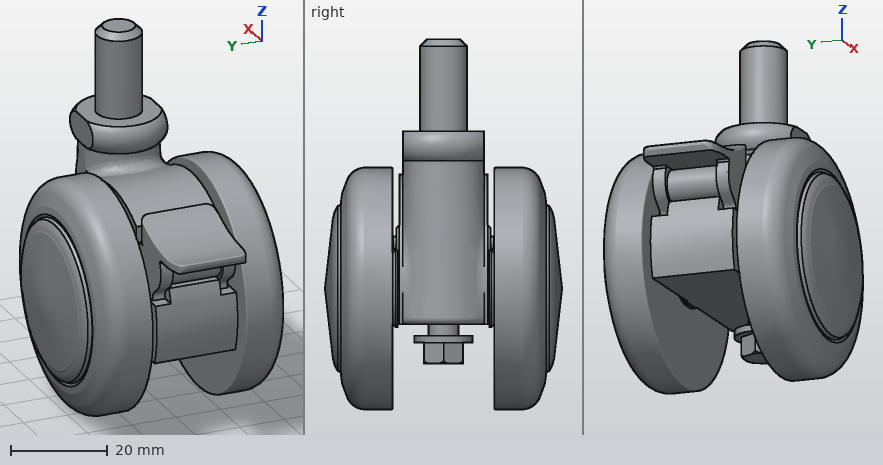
import cadquery as cq
import math


overall_height = 76.5
overall_width = 49.0

wheel_radius = 25.0
wheel_inner_face = 10.5
wheel_edge_fillet = 0.4
tread_side = 16.4
shoulder_mid = (24.2, 18.6)
shoulder_end = (22.3, 20.0)
rim_start = (19.65, 20.95)
rim_step = (18.05, 21.2)
rim_end = (17.45, 21.0)
cap_edge = (17.05, 21.8)
cap_shoulder = (16.6, 22.1)
cap_bend = (15.8, 22.5)
cap_rim = (14.9, 22.7)
cap_cone_radius = 14.5
cap_cone_side = 22.9
cap_apex = overall_width / 2
hub_radius = 7.95
hub_neck_radius = 7.5
hub_lip = 0.4

housing_radius = 23.6
housing_half_width = 9.1
housing_floor = -7.4
boss_radius = hub_radius
boss_face = 9.5

stem_x = 16.9
stem_radius = 4.9
stem_top = overall_height - wheel_radius
stem_chamfer = 1.45
collar_bottom = 26.4
collar_height = 6.1
collar_top = collar_bottom + collar_height
collar_face_radius = 8.9
collar_radius = 10.3
collar_half_flats = 8.4
neck_top_radius = 8.5
neck_bottom_radius = 10.3
neck_ring_height = 0.9
neck_bottom_fillet = 1.3
neck_blend = 2.3
bolt_radius = 3.1
washer_top = -9.7
washer_thickness = 1.45
washer_radius = 6.05
bolt_head_bottom = -15.5
bolt_head_flats = 8.1
bolt_head_chamfer = 0.45

lever_half_width = 8.4
lever_left = -32.1
lever_tip = -12.55
handle_low_x = -27.8
handle_low_z = 17.8
handle_dish_radius = 28.3
handle_underside = 16.1
nose_corner_radius = 1.8
nose_taper_radius = 12.0
nose_taper_angle = math.radians(20)
handle_corner_radius = 2.1
handle_rim_fillet = 0.3
nose_bevel_length = 0.7
nose_bevel_height = 1.15
arm_width = 2.75
arm_inner = lever_half_width - arm_width
arm_top_x = -23.9
arm_notch = (-23.5, 15.5)
arm_notch_radius = 0.6
arm_shoulder = (-23.7, 14.85)
arm_bulge = [(-24.0, 13.0), (-23.0, 9.9), (-20.8, 7.95), (-20.05, 7.2)]
arm_foot_x = -20.0
slot_floor = 5.65
recess_floor = 8.7
barrel_radius = (handle_underside - recess_floor) / 2
barrel_x = -19.3
recess_back = -13.0
recess_bend_z = 13.15

lug_x = -17.7
lug_z = 9.65
lug_radius = 5.8
lug_face = 9.8
lug_chamfer = 0.7
lug_pad_radius = 1.5
lug_pad_face = 10.4
wall_foot = (-17.3, 4.0)


def y_cylinder(x, z, radius, y_start, y_end):
    """Cylinder along Y between two Y positions."""
    plane = cq.Plane(origin=(x, y_start, z), xDir=(1, 0, 0), normal=(0, 1, 0))
    return cq.Workplane(plane).circle(radius).extrude(y_end - y_start)


def z_cylinder(radius, z_bottom, z_top):
    """Cylinder on the stem axis."""
    return cq.Workplane("XY", origin=(stem_x, 0, z_bottom)).circle(radius).extrude(z_top - z_bottom)


def xz_prism(outline, half_width):
    """Closed XZ outline extruded evenly to both sides of the mid plane."""
    return outline.close().extrude(half_width, both=True)


def handle_top(x):
    """Height of the dished handle top at a given X."""
    return handle_low_z + handle_dish_radius - math.sqrt(
        handle_dish_radius**2 - (x - handle_low_x) ** 2
    )


def make_wheel():
    """Right-hand wheel (+Y), revolved about the axle."""
    profile = (
        cq.Workplane("XY")
        .moveTo(0, boss_face)
        .lineTo(hub_radius, boss_face)
        .lineTo(hub_radius, boss_face + hub_lip)
        .lineTo(hub_neck_radius, wheel_inner_face)
        .lineTo(wheel_radius - wheel_edge_fillet, wheel_inner_face)
        .radiusArc((wheel_radius, wheel_inner_face + wheel_edge_fillet), -wheel_edge_fillet)
        .lineTo(wheel_radius, tread_side)
        .threePointArc(shoulder_mid, shoulder_end)
        .lineTo(*rim_start)
        .lineTo(*rim_step)
        .lineTo(*rim_end)
        .lineTo(*cap_edge)
        .lineTo(*cap_shoulder)
        .threePointArc(cap_bend, cap_rim)
        .lineTo(cap_cone_radius, cap_cone_side)
        .lineTo(0, cap_apex)
        .close()
    )
    return profile.revolve(360, (0, 0, 0), (0, 1, 0))


def below_floor():
    """Block of space under the flat underside of the housing."""
    return cq.Workplane("XY", origin=(0, 0, housing_floor - housing_radius)).box(
        4 * housing_radius, 4 * housing_half_width, 2 * housing_radius
    )


def make_neck():
    """Tapered upright that carries the stem."""
    cone_top = collar_bottom - neck_ring_height
    return (
        cq.Workplane("XZ", origin=(stem_x, 0, 0))
        .moveTo(0, housing_floor)
        .lineTo(neck_bottom_radius, housing_floor)
        .lineTo(neck_top_radius, cone_top)
        .lineTo(neck_top_radius, collar_bottom)
        .lineTo(0, collar_bottom)
        .close()
        .revolve(360, (0, 0, 0), (0, 1, 0))
    )


def make_drum_with_neck():
    """Drum with a flat underside, blended into a neck as wide as the collar flats."""
    untrimmed_half_width = 12.25
    drum = y_cylinder(0, 0, housing_radius, -untrimmed_half_width, untrimmed_half_width)
    body = drum.cut(below_floor()).union(make_neck())
    body = body.edges("%BSPLINE").fillet(neck_blend)
    body = body.faces("<Z").edges(">X").fillet(neck_bottom_fillet)
    neck_trim = cq.Workplane("XY").box(4 * housing_radius, 2 * collar_half_flats, 4 * housing_radius)
    drum = y_cylinder(0, 0, housing_radius, -housing_half_width, housing_half_width)
    return body.intersect(neck_trim).union(drum.cut(below_floor()))


def wall_x(z):
    """X of the sloping recess wall at a given height."""
    slope = (recess_back - wall_foot[0]) / (recess_bend_z - wall_foot[1])
    return wall_foot[0] + slope * (z - wall_foot[1])


def recess_cutter(floor, half_width):
    """Space in front of the recess wall and above a flat floor."""
    outline = (
        cq.Workplane("XZ")
        .moveTo(-2 * housing_radius, floor)
        .lineTo(wall_x(floor), floor)
        .lineTo(recess_back, recess_bend_z)
        .lineTo(recess_back, 2 * housing_radius)
        .lineTo(-2 * housing_radius, 2 * housing_radius)
    )
    return xz_prism(outline, half_width)


def make_lugs():
    """Stepped round lug on each cheek, flattened by the sloping wall."""
    lugs = y_cylinder(lug_x, lug_z, lug_radius, -lug_face, lug_face)
    lugs = lugs.faces("<Y or >Y").edges().chamfer(lug_chamfer)
    pad_x = (wall_foot[0] + recess_back) / 2
    lugs = lugs.union(y_cylinder(pad_x, lug_z, lug_pad_radius, -lug_pad_face, lug_pad_face))
    return lugs.cut(recess_cutter(wall_foot[1] - lug_radius, 2 * housing_half_width))


def make_housing():
    """Drum and neck with hub bosses, lugs, lever recess and stem bore."""
    bosses = y_cylinder(0, 0, boss_radius, -boss_face, boss_face).cut(below_floor())
    recess = recess_cutter(slot_floor, 2 * housing_half_width)
    middle_block = cq.Workplane("XY", origin=(-housing_radius, 0, 0)).box(
        2 * housing_radius, 2 * arm_inner, 2 * recess_floor
    )
    body = make_drum_with_neck().cut(recess.cut(middle_block))
    body = body.union(bosses).union(make_lugs())
    return body.cut(z_cylinder(bolt_radius, housing_floor, collar_bottom))


def make_stem():
    """Stud, flatted collar and the bolt that reaches through the neck."""
    stud = z_cylinder(stem_radius, collar_top, stem_top).faces(">Z").chamfer(stem_chamfer)
    collar = (
        cq.Workplane("XZ", origin=(stem_x, 0, 0))
        .moveTo(0, collar_bottom)
        .lineTo(collar_face_radius, collar_bottom)
        .threePointArc(
            (collar_radius, collar_bottom + collar_height / 2), (collar_face_radius, collar_top)
        )
        .lineTo(0, collar_top)
        .close()
        .revolve(360, (0, 0, 0), (0, 1, 0))
    )
    flats = cq.Workplane("XY", origin=(stem_x, 0, collar_bottom + collar_height / 2)).box(
        4 * collar_radius, 2 * collar_half_flats, 2 * collar_height
    )
    shank = z_cylinder(bolt_radius, washer_top, collar_bottom)
    washer_bottom = washer_top - washer_thickness
    washer = z_cylinder(washer_radius, washer_bottom, washer_top)
    corner_radius = bolt_head_flats / 2 / math.cos(math.pi / 6)
    head = (
        cq.Workplane("XY", origin=(stem_x, 0, bolt_head_bottom))
        .polygon(6, 2 * corner_radius)
        .extrude(washer_bottom - bolt_head_bottom)
    )
    head_round = z_cylinder(corner_radius, bolt_head_bottom, washer_bottom)
    head = head.intersect(head_round.faces("<Z").chamfer(bolt_head_chamfer))
    return stud.union(collar.intersect(flats)).union(shank).union(washer).union(head)


def make_handle():
    """Dished handle plate with a rounded nose and rounded rear corners."""
    side = (
        cq.Workplane("XZ")
        .moveTo(lever_left + nose_bevel_length, handle_underside)
        .lineTo(recess_back, handle_underside)
        .lineTo(recess_back, math.sqrt(housing_radius**2 - recess_back**2))
        .lineTo(lever_tip, math.sqrt(housing_radius**2 - recess_back**2))
        .lineTo(lever_tip, handle_top(lever_tip))
        .threePointArc(
            (handle_low_x, handle_low_z), (lever_left, handle_top(lever_left))
        )
        .lineTo(lever_left, handle_underside + nose_bevel_height)
    )
    shoulder_x = lever_left + nose_corner_radius * (1 - math.sin(nose_taper_angle))
    shoulder_y = lever_half_width - nose_taper_radius * (1 - math.cos(nose_taper_angle))
    taper_start_x = shoulder_x + nose_taper_radius * math.sin(nose_taper_angle)
    nose_half_width = shoulder_y - nose_corner_radius * math.cos(nose_taper_angle)
    plan = (
        cq.Workplane("XY")
        .moveTo(lever_tip, 0)
        .lineTo(lever_tip, lever_half_width - handle_corner_radius)
        .radiusArc((lever_tip - handle_corner_radius, lever_half_width), -handle_corner_radius)
        .lineTo(taper_start_x, lever_half_width)
        .radiusArc((shoulder_x, shoulder_y), -nose_taper_radius)
        .radiusArc((lever_left, nose_half_width), -nose_corner_radius)
        .lineTo(lever_left, 0)
        .mirrorX()
        .extrude(2 * housing_radius)
    )
    handle = xz_prism(side, lever_half_width).intersect(plan)
    dished_top = handle.faces(cq.selectors.NearestToPointSelector((handle_low_x, 0, handle_top(lever_tip))))
    return dished_top.edges().fillet(handle_rim_fillet)


def make_arms():
    """Two side arms below the handle, with a rounded front and a foot on the slot floor."""
    outline = (
        cq.Workplane("XZ")
        .moveTo(arm_top_x, handle_underside)
        .radiusArc(arm_notch, arm_notch_radius)
        .lineTo(*arm_shoulder)
        .spline(arm_bulge + [(arm_foot_x, slot_floor)], includeCurrent=True)
        .lineTo(wall_x(slot_floor), slot_floor)
        .lineTo(recess_back, recess_bend_z)
        .lineTo(recess_back, handle_underside)
    )
    between_arms = cq.Workplane("XY").box(4 * housing_radius, 2 * arm_inner, 4 * housing_radius)
    return xz_prism(outline, lever_half_width).cut(between_arms)


def make_barrel():
    """Set-back web between the arms with a half-round front, resting on the recess floor."""
    outline = (
        cq.Workplane("XZ")
        .moveTo(barrel_x, handle_underside)
        .threePointArc(
            (barrel_x - barrel_radius, recess_floor + barrel_radius), (barrel_x, recess_floor)
        )
        .lineTo(wall_x(recess_floor), recess_floor)
        .lineTo(recess_back, recess_bend_z)
        .lineTo(recess_back, handle_underside)
    )
    return xz_prism(outline, arm_inner)


def make_lever():
    """Handle, side arms and barrel as one lever."""
    return make_handle().union(make_arms()).union(make_barrel())


housing = make_housing()
lever = make_lever()
stem = make_stem()
right_wheel = make_wheel()
wheels = [right_wheel, right_wheel.mirror("XZ")]

result = cq.Compound.makeCompound(
    [housing.val(), lever.val(), stem.val(), *[wheel.val() for wheel in wheels]]
)